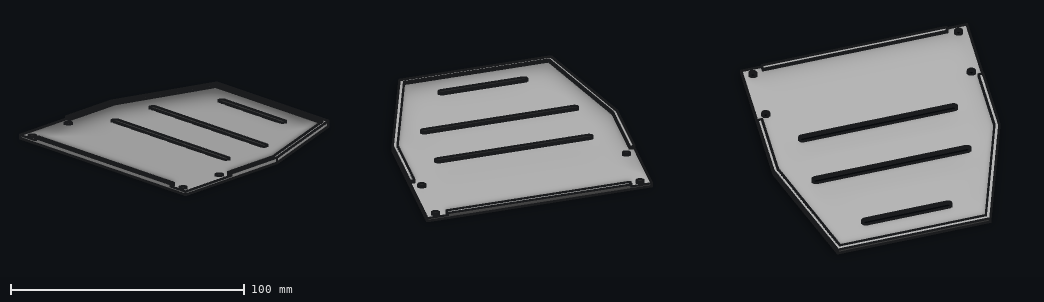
import cadquery as cq

length = 103.5
width = 100.0
back_width = 67.5
shoulder_y = 55.8

floor_thickness = 1.6
total_thickness = 2.6
rim_height = total_thickness - floor_thickness

rim_width = 2.1
rim_start_y = 27.9
lip_length = 81.8

slot_width = 3.1
slots = [(91.1, 39.5), (64.4, 70.0), (41.4, 70.0)]

hole_diameter = 3.1
hole_spacing = 91.1
hole_rows_y = [2.9, 24.9]


def plate_outline():
    """Rectangle whose back half tapers towards the back edge."""
    return cq.Workplane("XY").polyline([
        (-width / 2, 0),
        (width / 2, 0),
        (width / 2, shoulder_y),
        (back_width / 2, length),
        (-back_width / 2, length),
        (-width / 2, shoulder_y),
    ]).close()


def side_and_back_rim():
    """Constant-width wall following the outline behind rim_start_y."""
    outer = plate_outline().extrude(rim_height)
    inner = plate_outline().offset2D(-rim_width).extrude(rim_height)
    front_clearance = cq.Workplane("XY").box(
        width, rim_start_y, rim_height, centered=(True, False, False)
    )
    rim = outer.cut(inner).cut(front_clearance)
    return rim.translate((0, 0, floor_thickness))


def front_lip():
    lip = cq.Workplane("XY").box(
        lip_length, rim_width, rim_height, centered=(True, False, False)
    )
    return lip.translate((0, 0, floor_thickness))


plate = plate_outline().extrude(floor_thickness)
result = plate.union(side_and_back_rim()).union(front_lip())

for slot_y, slot_length in slots:
    slot = cq.Workplane("XY").center(0, slot_y).slot2D(slot_length, slot_width)
    result = result.cut(slot.extrude(total_thickness))

hole_centres = [(side * hole_spacing / 2, y) for side in (-1, 1) for y in hole_rows_y]
holes = cq.Workplane("XY").pushPoints(hole_centres).circle(hole_diameter / 2)
result = result.cut(holes.extrude(total_thickness))